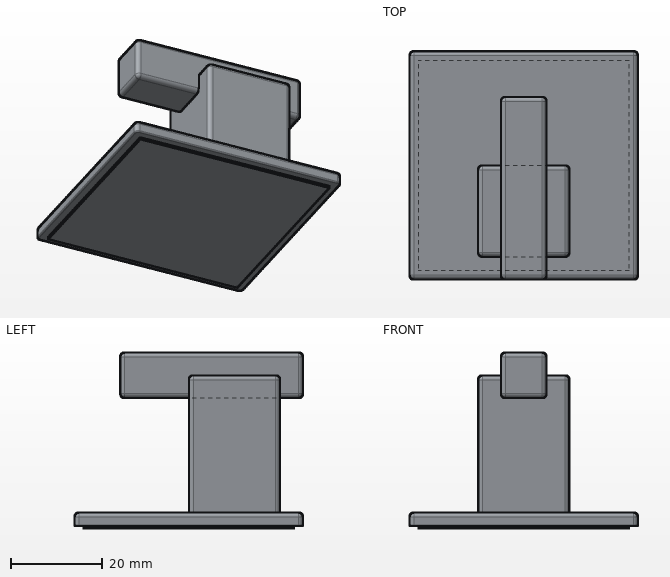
import cadquery as cq

plate_side = 50.0
plate_thickness = 3.0
plate_lower_radius = 0.3

gasket_inset = 2.0
gasket_thickness = 0.5

post_side = 20.0
post_height = 30.0

lever_width = 10.0
lever_length = 40.0
lever_sink = lever_width / 2

edge_radius = 1.0

gasket_side = plate_side - 2 * gasket_inset
plate_bottom_z = gasket_thickness
plate_top_z = plate_bottom_z + plate_thickness
post_center_y = -post_side / 2
post_top_z = plate_top_z + post_height
lever_bottom_z = post_top_z - lever_sink
lever_center_y = (lever_length - plate_side) / 2


def block(size_x, size_y, height, center_y, bottom_z):
    """Plain block centred on X = 0, standing on bottom_z."""
    corner = (0, center_y, bottom_z)
    return cq.Workplane("XY", origin=corner).box(size_x, size_y, height, centered=(True, True, False))


def make_gasket():
    return block(gasket_side, gasket_side, gasket_thickness, 0, 0)


def make_plate():
    plate = block(plate_side, plate_side, plate_thickness, 0, plate_bottom_z)
    plate = plate.edges("|Z or >Z").fillet(edge_radius)
    return plate.faces("<Z").edges().fillet(plate_lower_radius)


def make_lever():
    lever = block(lever_width, lever_length, lever_width, lever_center_y, lever_bottom_z)
    return lever.edges().fillet(edge_radius)


def make_post(lever):
    """Post with rounded sides and top, and a slot that matches the lever."""
    post = block(post_side, post_side, post_height, post_center_y, plate_top_z)
    post = post.edges("|Z or >Z").fillet(edge_radius)
    return post.cut(lever)


gasket = make_gasket()
plate = make_plate()
lever = make_lever()
post = make_post(lever)

result = cq.Compound.makeCompound([body.solids().val() for body in (gasket, plate, post, lever)])